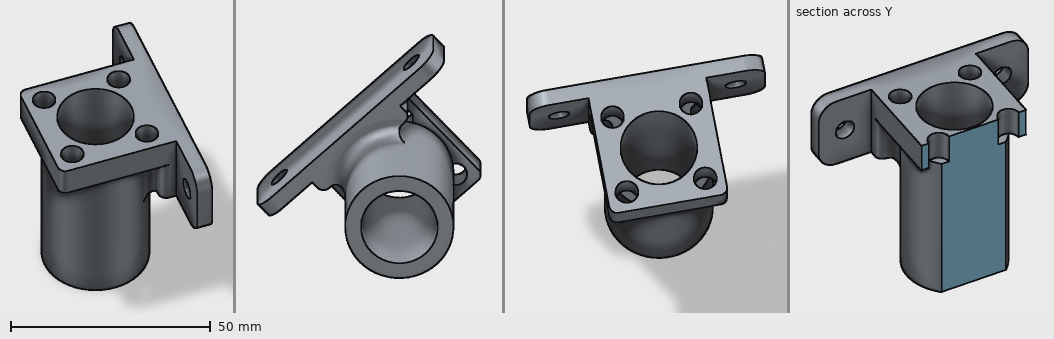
import cadquery as cq
import math

plate_length = 60.0
plate_height = 20.0
plate_thickness = 4.0
plate_corner_radius = 5.0
mount_hole_diameter = 5.2
mount_hole_spacing = 45.0

flange_width = 30.0
flange_thickness = 8.0
flange_corner_radius = 2.0
screw_hole_diameter = 5.7
screw_hole_spacing = 20.0

tube_diameter = 27.2
tube_length = 49.0
bore_diameter = 19.2
overall_depth = 35.0

web_depth = 8.0
web_blend_radius = 2.0
flare_radius = 5.0

tube_radius = tube_diameter / 2
flange_front = -flange_width / 2
plate_back = flange_front + overall_depth
plate_front = plate_back - plate_thickness
web_front = plate_back - web_depth


def make_plate():
    """Upright mounting plate with rounded corners."""
    return (
        cq.Workplane("XY")
        .box(plate_length, plate_thickness, plate_height, centered=(True, False, False))
        .translate((0, plate_front, -plate_height))
        .edges("|Y")
        .fillet(plate_corner_radius)
    )


def make_flange():
    """Horizontal flange reaching from the plate to beyond the tube."""
    return (
        cq.Workplane("XY")
        .box(flange_width, overall_depth, flange_thickness, centered=(True, False, False))
        .translate((0, flange_front, -flange_thickness))
        .edges("|Z and <Y")
        .fillet(flange_corner_radius)
    )


def web_outline():
    """Web outline whose concave blends are tangent to web and tube."""
    half_width = flange_width / 2
    r = web_blend_radius
    diagonal = r * math.sqrt(0.5)

    blend_y = web_front - r
    blend_x = math.sqrt((tube_radius + r) ** 2 - blend_y ** 2)
    tube_fraction = tube_radius / (tube_radius + r)
    tangent_x = blend_x * tube_fraction
    tangent_y = blend_y * tube_fraction

    end_angle = math.atan2(-blend_y, -blend_x) + 2 * math.pi
    middle_angle = (math.pi / 2 + end_angle) / 2
    middle_x = blend_x + r * math.cos(middle_angle)
    middle_y = blend_y + r * math.sin(middle_angle)

    round_x = half_width - r
    round_y = web_front + r
    return (
        cq.Workplane("XY")
        .moveTo(-half_width, plate_back)
        .lineTo(half_width, plate_back)
        .lineTo(half_width, round_y)
        .threePointArc((round_x + diagonal, round_y - diagonal), (round_x, web_front))
        .lineTo(blend_x, web_front)
        .threePointArc((middle_x, middle_y), (tangent_x, tangent_y))
        .lineTo(0, 0)
        .lineTo(-tangent_x, tangent_y)
        .threePointArc((-middle_x, middle_y), (-blend_x, web_front))
        .lineTo(-round_x, web_front)
        .threePointArc((-round_x - diagonal, round_y - diagonal), (-half_width, round_y))
        .close()
    )


def make_flare():
    """Concave collar around the tube, trimmed to the outline of the web."""
    top = -plate_height
    bottom = top - flare_radius
    outer_radius = tube_radius + flare_radius
    diagonal = flare_radius * math.sqrt(0.5)
    collar = (
        cq.Workplane("XZ")
        .moveTo(0, top)
        .lineTo(outer_radius, top)
        .threePointArc((outer_radius - diagonal, bottom + diagonal), (tube_radius, bottom))
        .lineTo(0, bottom)
        .close()
        .revolve(360, (0, 0, 0), (0, 1, 0))
    )
    return collar.intersect(web_outline().extrude(-plate_height - flare_radius))


tube = cq.Workplane("XY").circle(tube_radius).extrude(-tube_length)
web = web_outline().extrude(-plate_height)
body = make_plate().union(make_flange()).union(web).union(tube).union(make_flare())

bore = cq.Workplane("XY").circle(bore_diameter / 2).extrude(-tube_length)

screw_holes = (
    cq.Workplane("XY")
    .rarray(screw_hole_spacing, screw_hole_spacing, 2, 2)
    .circle(screw_hole_diameter / 2)
    .extrude(-flange_thickness)
)

mount_holes = (
    cq.Workplane("XZ", origin=(0, plate_back, -plate_height / 2))
    .rarray(mount_hole_spacing, 0.6, 2, 1)
    .circle(mount_hole_diameter / 2)
    .extrude(plate_thickness)
)

result = body.cut(bore).cut(screw_holes).cut(mount_holes)